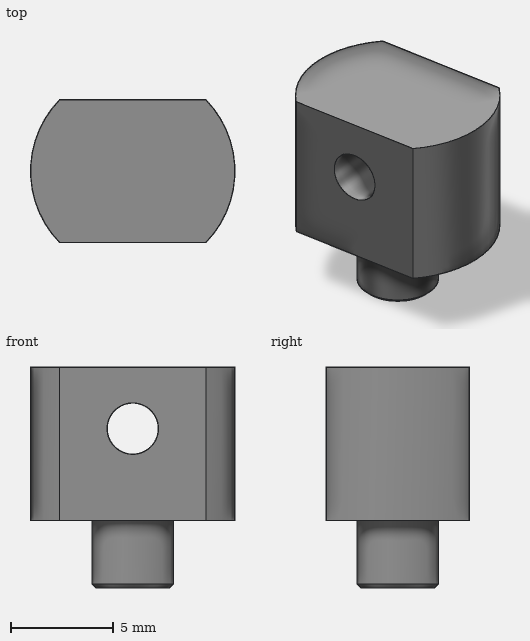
import cadquery as cq

total_height = 10.8
head_diameter = 10.0
head_thickness = 7.0
head_height = 7.5
stem_diameter = 4.0
stem_chamfer = 0.2
hole_diameter = 2.5
hole_depth_from_top = 3.0

stem_height = total_height - head_height
hole_height = total_height - hole_depth_from_top


def make_head():
    """Round head cut down to two parallel flats facing -Y and +Y."""
    cylinder = cq.Workplane("XY").workplane(offset=stem_height).circle(head_diameter / 2).extrude(head_height)
    flats = cq.Workplane("XY").box(head_diameter, head_thickness, total_height, centered=(True, True, False))
    return cylinder.intersect(flats)


def make_stem():
    """Cylindrical stem with a chamfered lower end."""
    return (
        cq.Workplane("XY")
        .circle(stem_diameter / 2)
        .extrude(stem_height)
        .faces("<Z")
        .chamfer(stem_chamfer)
    )


def make_cross_hole():
    """Cutter for the hole running through the head from flat to flat."""
    return (
        cq.Workplane("XZ")
        .center(0, hole_height)
        .circle(hole_diameter / 2)
        .extrude(head_thickness / 2, both=True)
    )


result = make_head().union(make_stem()).cut(make_cross_hole())